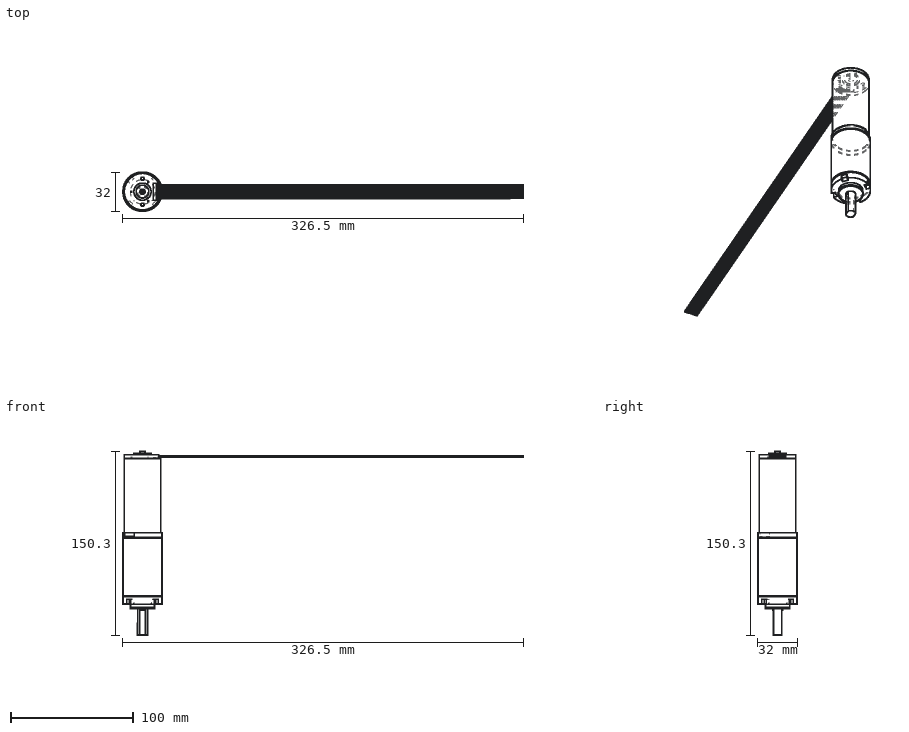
import cadquery as cq
import math


gearbox_diameter = 32.0
gearbox_radius = gearbox_diameter / 2
gearbox_length = 58.0
seam_groove_width = 1.0
seam_groove_depth = 0.15
front_groove_z = 6.0
rear_groove_z = 53.5
collar_diameter = 20.0
collar_length = 4.0
collar_rim_diameter = 20.2
collar_rim_width = 1.3
collar_chamfer = 0.5
notch_width = 5.0
notch_height = 4.0
notch_inner_radius = 12.7
notch_angles = (45, 135, 225, 315)
flat_offset = 15.0
flat_angle = 225
flat_height = 3.0

shaft_diameter = 8.2
shaft_length = 25.5
shaft_neck_length = 1.0
shaft_across_flats = 7.0

motor_diameter = 30.0
motor_top = 121.8
cap_height = 3.3
cap_z = motor_top - cap_height
cap_groove_width = 0.3
cap_groove_depth = 0.15
boss_diameter = 14.0
boss_height = 1.0
boss_recess_diameter = 10.5
boss_recess_depth = 0.3
stub_diameter = 4.2
stub_top = 124.8
stub_bore_diameter = 1.5
stub_bore_depth = 1.5
mount_hole_diameter = 2.5
mount_hole_spacing = 21.2
mount_hole_depth = 3.3
pin_hole_diameter = 1.0
pin_hole_circle_radius = 9.0
pin_hole_count = 3
pin_hole_depth = 1.5

slot_inner_x = 8.8
slot_width = 13.7
slot_depth = 2.0
slot_floor_z = motor_top - slot_depth
wire_count = 9
wire_pitch = 1.25
wire_diameter = 1.37
wire_sink = 0.15
wire_z = slot_floor_z + wire_diameter / 2 - wire_sink
wire_start_x = 11.0
overall_length = 326.5
cable_end_x = overall_length - gearbox_radius
bare_length = 11.0
conductor_diameter = 1.18


def cylinder(diameter, bottom, top):
    return cq.Workplane("XY").workplane(offset=bottom).circle(diameter / 2).extrude(top - bottom)


def block(x_range, y_range, z_range):
    size = [high - low for low, high in (x_range, y_range, z_range)]
    return cq.Workplane("XY").box(*size, centered=False).translate((x_range[0], y_range[0], z_range[0]))


def ring_groove(diameter, depth, bottom, width):
    outer = cylinder(diameter + 2 * depth, bottom, bottom + width)
    core = cylinder(diameter - 2 * depth, bottom, bottom + width)
    return outer.cut(core)


def output_shaft():
    flat_top = -collar_length - shaft_neck_length
    half_width = shaft_across_flats / 2
    shaft = cylinder(shaft_diameter, -shaft_length, 0)
    round_part = cylinder(shaft_diameter, flat_top, 0)
    slab = block(
        (-shaft_diameter, shaft_diameter), (-half_width, half_width), (-shaft_length, flat_top)
    )
    return shaft.intersect(slab).union(round_part)


def make_gearbox():
    body = cylinder(gearbox_diameter, 0, gearbox_length)
    for z in (front_groove_z, rear_groove_z):
        body = body.cut(ring_groove(gearbox_diameter, seam_groove_depth, z, seam_groove_width))

    for angle in notch_angles:
        notch = block(
            (notch_inner_radius, gearbox_diameter), (-notch_width / 2, notch_width / 2), (0, notch_height)
        )
        body = body.cut(notch.rotate((0, 0, 0), (0, 0, 1), angle))

    flat = block(
        (flat_offset, gearbox_diameter),
        (-gearbox_radius, gearbox_radius),
        (gearbox_length - flat_height, gearbox_length),
    )
    body = body.cut(flat.rotate((0, 0, 0), (0, 0, 1), flat_angle))

    collar = cylinder(collar_diameter, -collar_length, 0)
    rim = cylinder(collar_rim_diameter, -collar_length, -collar_length + collar_rim_width)
    rim = rim.faces("<Z").chamfer(collar_chamfer)
    return body.union(collar).union(rim).union(output_shaft())


def ribbon_cable():
    insulation_length = cable_end_x - bare_length - wire_start_x
    first_y = -(wire_count - 1) / 2 * wire_pitch
    centres = [(first_y + i * wire_pitch, wire_z) for i in range(wire_count)]
    cable = None
    for centre in centres:
        start = cq.Workplane("YZ").workplane(offset=wire_start_x).center(*centre)
        wire = start.circle(wire_diameter / 2).extrude(insulation_length)
        conductor = start.circle(conductor_diameter / 2).extrude(insulation_length + bare_length)
        wire = wire.union(conductor)
        cable = wire if cable is None else cable.union(wire)
    return cable


def make_motor():
    body = cylinder(motor_diameter, gearbox_length, motor_top)
    body = body.cut(ring_groove(motor_diameter, cap_groove_depth, cap_z, cap_groove_width))

    boss_top = motor_top + boss_height
    body = body.union(cylinder(boss_diameter, motor_top, boss_top))
    body = body.cut(cylinder(boss_recess_diameter, boss_top - boss_recess_depth, boss_top))
    body = body.union(cylinder(stub_diameter, motor_top, stub_top))
    body = body.cut(cylinder(stub_bore_diameter, stub_top - stub_bore_depth, stub_top))

    for y in (-mount_hole_spacing / 2, mount_hole_spacing / 2):
        hole = cylinder(mount_hole_diameter, motor_top - mount_hole_depth, motor_top)
        body = body.cut(hole.translate((0, y, 0)))
    for i in range(pin_hole_count):
        angle = math.pi + i * 2 * math.pi / pin_hole_count
        hole = cylinder(pin_hole_diameter, motor_top - pin_hole_depth, motor_top)
        x = pin_hole_circle_radius * math.cos(angle)
        y = pin_hole_circle_radius * math.sin(angle)
        body = body.cut(hole.translate((x, y, 0)))

    slot = block(
        (slot_inner_x, motor_diameter), (-slot_width / 2, slot_width / 2), (slot_floor_z, motor_top)
    )
    return body.cut(slot).union(ribbon_cable())


gearbox = make_gearbox()
motor = make_motor()
result = cq.Compound.makeCompound([gearbox.val(), motor.val()])